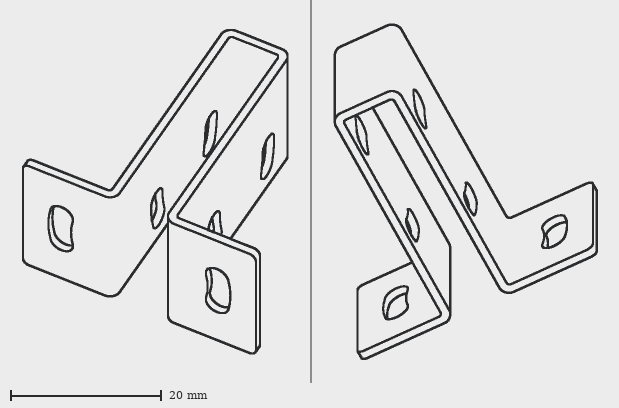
import cadquery as cq
import math

total_width = 35.0
depth = 34.0
height = 20.0
thickness = 1.2

channel_width = 9.8
inner_bend_radius = 0.5
outer_bend_radius = 1.47
flange_corner_radius = 0.98

flange_slot_width = 3.4
flange_slot_arc_radius = 11.97
flange_slot_half_rise = 2.62

wall_slot_width = 3.22
wall_slot_front_y = 12.0
wall_slot_spacing = 15.45
wall_slot_upper_z = 7.98 - height / 2
wall_slot_drop = 4.02

outer_x = channel_width / 2
inner_x = outer_x - thickness
flange_x = total_width / 2


def block(x_half, y_start, y_end):
    """Full-height block centred on X, between two Y positions."""
    middle_y = (y_start + y_end) / 2
    return cq.Workplane("XY").box(2 * x_half, y_end - y_start, height).translate((0, middle_y, 0))


def bend_edges(x_half, y):
    """Selector for the two vertical edges at plus and minus x_half."""
    reach = thickness / 4
    low_z = -height
    selectors = [
        cq.selectors.BoxSelector((x - reach, y - reach, low_z), (x + reach, y + reach, -low_z))
        for x in (-x_half, x_half)
    ]
    return cq.selectors.SumSelector(*selectors)


def make_bracket():
    """Bent strip: a deep channel with a flange on each side."""
    flanges = block(flange_x, 0, thickness).edges("|Y").fillet(flange_corner_radius)
    channel = block(outer_x, 0, depth)
    opening = block(inner_x, 0, depth - thickness)
    bracket = flanges.union(channel).cut(opening)
    for x_half, y, radius in (
        (outer_x, depth, outer_bend_radius),
        (inner_x, depth - thickness, inner_bend_radius),
        (outer_x, thickness, inner_bend_radius),
        (inner_x, 0, outer_bend_radius),
    ):
        bracket = bracket.edges("|Z").edges(bend_edges(x_half, y)).fillet(radius)
    return bracket


def curved_slot(plane, center, radius, start_angle, end_angle, width, cut_length):
    """Round-ended arc slot, extruded to both sides of the plane; angles in radians."""
    inner = radius - width / 2
    outer = radius + width / 2
    middle_angle = (start_angle + end_angle) / 2
    sweep_sign = math.copysign(1, end_angle - start_angle)

    def point(distance, angle, end_offset=0):
        along = end_offset * sweep_sign
        return (
            center[0] + distance * math.cos(angle) - along * math.sin(angle),
            center[1] + distance * math.sin(angle) + along * math.cos(angle),
        )

    return (
        cq.Workplane(plane)
        .moveTo(*point(outer, start_angle))
        .threePointArc(point(outer, middle_angle), point(outer, end_angle))
        .threePointArc(point(radius, end_angle, width / 2), point(inner, end_angle))
        .threePointArc(point(inner, middle_angle), point(inner, start_angle))
        .threePointArc(point(radius, start_angle, -width / 2), point(outer, start_angle))
        .close()
        .extrude(cut_length, both=True)
    )


def cut_flange_slots(body):
    """Cut one curved slot through each flange."""
    half_sweep = math.asin(flange_slot_half_rise / flange_slot_arc_radius)
    for middle in (0, math.pi):
        slot = curved_slot(
            "XZ", (0, 0), flange_slot_arc_radius, middle - half_sweep, middle + half_sweep,
            flange_slot_width, 2 * thickness,
        )
        body = body.cut(slot)
    return body


def cut_wall_slots(body):
    """Cut the facing pair of curved slots through both side walls."""
    front_end = (wall_slot_front_y, wall_slot_upper_z)
    back_end = (wall_slot_front_y + wall_slot_spacing, wall_slot_upper_z)
    sweep = math.asin(wall_slot_drop / wall_slot_spacing)
    for center, upper_angle, lower_angle in (
        (front_end, 0, -sweep),
        (back_end, math.pi, math.pi + sweep),
    ):
        slot = curved_slot(
            "YZ", center, wall_slot_spacing, upper_angle, lower_angle, wall_slot_width, channel_width
        )
        body = body.cut(slot)
    return body


result = cut_wall_slots(cut_flange_slots(make_bracket()))